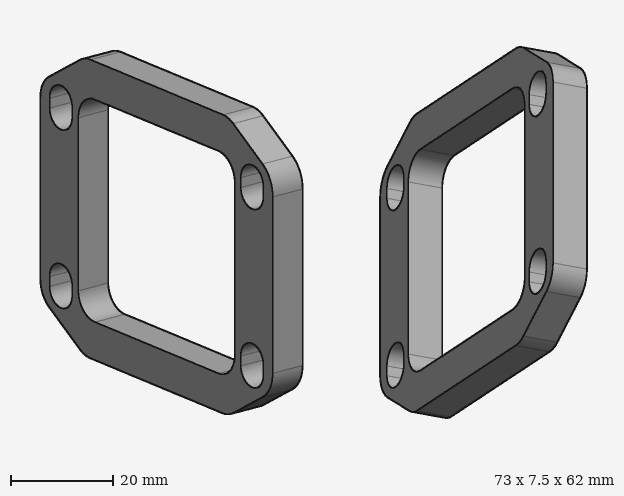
import cadquery as cq

width = 73.0
thickness = 7.5
height = 62.0
corner_cut_x = 13.95
corner_cut_z = 8.8
top_bottom_radius = 6.0
left_radius = 6.0
right_radius = 7.0

window_width = 49.05
window_height = 46.1
window_radius = 5.1

slot_width = 7.1
slot_length = 9.1
slot_spacing_x = 60.0
slot_spacing_z = 37.0


def make_plate():
    """Rectangle with four cut corners, rounded more on the +X side than on the -X side."""
    half_x = width / 2
    half_z = height / 2
    flat_x = half_x - corner_cut_x
    flat_z = half_z - corner_cut_z
    outline = [
        (flat_x, half_z),
        (half_x, flat_z),
        (half_x, -flat_z),
        (flat_x, -half_z),
        (-flat_x, -half_z),
        (-half_x, -flat_z),
        (-half_x, flat_z),
        (-flat_x, half_z),
    ]
    plate = cq.Workplane("XZ").polyline(outline).close().extrude(thickness / 2, both=True)
    plate = plate.edges("|Y and <X").fillet(left_radius)
    plate = plate.edges("|Y and >X").fillet(right_radius)
    return plate.edges("|Y and (>Z or <Z)").fillet(top_bottom_radius)


def make_window():
    window = cq.Workplane("XZ").rect(window_width, window_height).extrude(thickness, both=True)
    return window.edges("|Y").fillet(window_radius)


def make_slots():
    return (
        cq.Workplane("XZ")
        .rect(slot_spacing_x, slot_spacing_z, forConstruction=True)
        .vertices()
        .slot2D(slot_length, slot_width, 90)
        .extrude(thickness, both=True)
    )


result = make_plate().cut(make_window()).cut(make_slots())